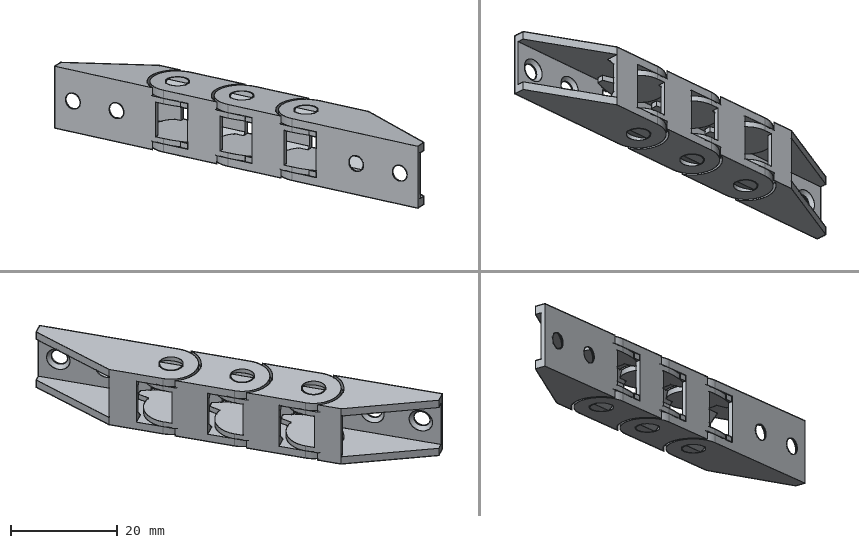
import cadquery as cq

LENGTH = 79.0
DEPTH = 10.35
HEIGHT = 12.6

JOINTS = 3
FIRST_JOINT = 23.7
PITCH = 14.0
JOINT_X = [FIRST_JOINT + i * PITCH for i in range(JOINTS)]
JOINT_Y = DEPTH / 2
PIN_DIAMETER = 4.3
BORE_DIAMETER = 4.6
PIN_SLANT = 0.8

CHEEK = 1.65
WEB = 0.95
BACK_CHAMFER = 1.65
WEB_START = 5.2
WEB_END = 1.7

ROUND_RADIUS = DEPTH / 2
HOLLOW_RADIUS = 5.7
DISC_THICKNESS = 1.1

LIP_START = 3.6
LIP_SETBACK = 0.15
ARM_RISE = 0.4
ARM_LENGTH = 7.1
ARM_BACK_ROOT = (4.75, 3.55)
ARM_BACK_TIP = 2.85

TIP_DEPTH = 2.3
TAPER_LENGTH = 16.75
HOLE_DIAMETER = 3.15
COUNTERSINK_DIAMETER = 4.6
HOLES_FROM_END = (3.95, 13.4)

MARGIN = 0.8


def block(x_range, y_range, z_range):
    """Box between two limits along each axis."""
    (x0, x1), (y0, y1), (z0, z1) = x_range, y_range, z_range
    corner = cq.Workplane("XY", origin=(x0, y0, z0))
    return corner.box(x1 - x0, y1 - y0, z1 - z0, centered=False)


def cylinder(joint_x, radius, z_range):
    """Upright cylinder on a hinge axis."""
    z0, z1 = z_range
    return cq.Workplane("XY", origin=(joint_x, JOINT_Y, z0)).circle(radius).extrude(z1 - z0)


def doubled(lower):
    """A feature of the lower half together with its mirror image in the upper half."""
    return lower.union(lower.mirror("XY", (0, 0, HEIGHT / 2)))


FULL_Y = (-MARGIN, DEPTH + MARGIN)
FULL_Z = (-MARGIN, HEIGHT + MARGIN)
INNER_Z = (CHEEK, HEIGHT - CHEEK)
LOWER_CHEEK_Z = (0, CHEEK)
DISC_Z = (CHEEK, CHEEK + DISC_THICKNESS)



def channel(x0, x1):
    """Hollow space between the cheeks and the webs."""
    return block((x0, x1), (WEB, DEPTH - WEB), INNER_Z)


def screw_hole(hole_x):
    """Cutter for a hole through the front web, countersunk from inside the channel."""
    hole_radius = HOLE_DIAMETER / 2
    sink_radius = COUNTERSINK_DIAMETER / 2
    cone_start = WEB - (sink_radius - hole_radius)
    profile = [(0, 0), (hole_radius, 0), (hole_radius, cone_start), (sink_radius, WEB), (0, WEB)]
    half_section = cq.Workplane("XY", origin=(hole_x, 0, HEIGHT / 2)).polyline(profile).close()
    return half_section.revolve(360, (0, 0), (0, 1))


def tapered_blank(length):
    """Hollow bar that tapers toward X = 0, open at the back of the taper, with screw holes."""
    outline = [(0, 0), (length, 0), (length, DEPTH), (TAPER_LENGTH, DEPTH), (0, TIP_DEPTH)]
    blank = cq.Workplane("XY").polyline(outline).close().extrude(HEIGHT)
    blank = blank.cut(channel(-MARGIN, length + MARGIN))
    blank = blank.cut(block((-MARGIN, TAPER_LENGTH), (WEB, DEPTH + MARGIN), INNER_Z))
    for hole_x in HOLES_FROM_END:
        blank = blank.cut(screw_hole(hole_x))
    return blank


def back_chamfer(x0, x1):
    """Triangular fillings along the back web, at the lower and the upper cheek."""
    y = DEPTH - WEB
    triangle = [(y, CHEEK), (y - BACK_CHAMFER, CHEEK), (y, CHEEK + BACK_CHAMFER)]
    section = cq.Workplane("YZ", origin=(x0, 0, 0)).polyline(triangle).close()
    return doubled(section.extrude(x1 - x0))



def stop_arm(joint_x):
    """Lower stop arm: curved front from the foot of the disc, straight back and flat tip."""
    arc_radius = (LIP_START**2 + ARM_RISE**2) / (2 * ARM_RISE)
    arm_front_tip = arc_radius - (arc_radius**2 - ARM_LENGTH**2) ** 0.5
    outline = (
        cq.Workplane("XY", origin=(joint_x, 0, CHEEK))
        .moveTo(0, 0)
        .threePointArc((LIP_START, ARM_RISE), (ARM_LENGTH, arm_front_tip))
        .lineTo(ARM_LENGTH, ARM_BACK_TIP)
        .lineTo(*ARM_BACK_ROOT)
        .lineTo(0, JOINT_Y)
        .close()
    )
    return outline.extrude(DISC_THICKNESS)


def hinge_disc(joint_x):
    """Lower disc with its stop arm and the two tabs that carry it on the webs."""
    tab_x = (joint_x - WEB_END, joint_x)
    disc = cylinder(joint_x, ROUND_RADIUS, DISC_Z).union(stop_arm(joint_x))
    disc = disc.union(block(tab_x, (0, WEB), DISC_Z))
    return disc.union(block(tab_x, (DEPTH - WEB, DEPTH), DISC_Z))


def hinge_pin(joint_x):
    """Lower pin with a tip that slants on its front half."""
    radius = PIN_DIAMETER / 2
    pin = cylinder(joint_x, radius, LOWER_CHEEK_Z)
    wedge = [(JOINT_Y, 0), (JOINT_Y - radius, 0), (JOINT_Y - radius, PIN_SLANT)]
    section = cq.Workplane("YZ", origin=(joint_x, 0, 0)).polyline(wedge).close()
    return pin.cut(section.extrude(radius, both=True))


def web_lip(joint_x):
    """Lower lip that carries the front web on in front of the stop arm."""
    lip_x = (joint_x + LIP_START, joint_x + WEB_START)
    return block(lip_x, (LIP_SETBACK, WEB), DISC_Z)


def with_pin_end(blank, joint_x):
    """Give a blank the discs and pins that reach into the next link."""
    beyond = joint_x + ROUND_RADIUS + PITCH
    body = blank.cut(block((joint_x, beyond), FULL_Y, FULL_Z))
    body = body.cut(block((joint_x - WEB_END, beyond), FULL_Y, INNER_Z))
    hollow = cylinder(joint_x, HOLLOW_RADIUS, LOWER_CHEEK_Z)
    body = body.cut(doubled(hollow))
    return body.union(doubled(hinge_disc(joint_x).union(hinge_pin(joint_x))))


def with_round_end(blank, joint_x, chamfer_end):
    """Give a blank the round cheeks, bores and lips that take the previous link's pins."""
    body = blank.union(cylinder(joint_x, ROUND_RADIUS, (0, HEIGHT)))
    web_start = joint_x + WEB_START
    body = body.cut(block((joint_x - ROUND_RADIUS - MARGIN, web_start), FULL_Y, INNER_Z))
    body = body.cut(cylinder(joint_x, BORE_DIAMETER / 2, FULL_Z))
    body = body.union(back_chamfer(web_start, chamfer_end))
    body = body.union(doubled(web_lip(joint_x)))
    return body.cut(doubled(stop_arm(joint_x)))



def first_link():
    """Tapered end with the first pins."""
    return with_pin_end(tapered_blank(JOINT_X[0]), JOINT_X[0])


def middle_link(start_x, end_x):
    """Link with a round end at one joint and pins at the next."""
    blank = block((start_x, end_x), (0, DEPTH), (0, HEIGHT)).cut(channel(start_x, end_x))
    return with_pin_end(with_round_end(blank, start_x, end_x), end_x)


def last_link():
    """Tapered end that turns on the last pins."""
    joint_x = JOINT_X[-1]
    blank = tapered_blank(LENGTH - joint_x).mirror("YZ", (LENGTH / 2, 0, 0))
    return with_round_end(blank, joint_x, LENGTH - TAPER_LENGTH)


links = [first_link()]
for start_x, end_x in zip(JOINT_X, JOINT_X[1:]):
    links.append(middle_link(start_x, end_x))
links.append(last_link())

result = cq.Compound.makeCompound([link.solids().val() for link in links])